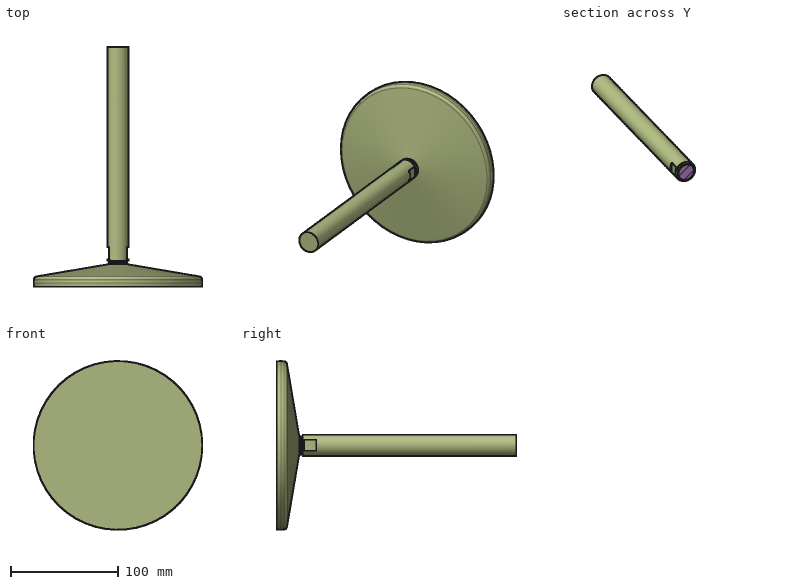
import cadquery as cq
import math

FOOT_RADIUS = 158.0 / 2
FACE_RADIUS = 78.6
WIDEST_Y = 4.0
RIM_Y = 6.7
RIM_RADIUS = 78.6
SHOULDER_RADIUS = 3.0
CONE_EDGE_Y = 9.5
CONE_TOP_Y = 21.0
CONE_TOP_RADIUS = 9.9
COLLAR_RADIUS = 8.0
COLLAR_LIP_Y = 22.2
COLLAR_TOP_Y = 22.8

STEM_RADIUS = 20.0 / 2
STEM_START_Y = 24.5
STEM_END_Y = 224.0
NECK_TIP_RADIUS = 8.7
NECK_BASE_RADIUS = 7.0
FLAT_SPACING = 17.0
FLAT_START_Y = STEM_START_Y + 1.3
FLAT_LENGTH = 11.5


def revolve_about_y(outline):
    return outline.close().revolve(360, (0, 0, 0), (0, 1, 0))


def make_foot():
    """Disc with a conical top, rounded shoulder and central collar."""
    slope = math.atan2(CONE_TOP_Y - CONE_EDGE_Y, RIM_RADIUS - CONE_TOP_RADIUS)
    turn = math.pi / 2 - slope
    tangent = SHOULDER_RADIUS * math.tan(turn / 2)
    arc_start = (RIM_RADIUS, CONE_EDGE_Y - tangent)
    arc_end = (RIM_RADIUS - tangent * math.cos(slope), CONE_EDGE_Y + tangent * math.sin(slope))
    outline = (
        cq.Workplane("XY")
        .lineTo(FACE_RADIUS, 0)
        .lineTo(FOOT_RADIUS, WIDEST_Y)
        .lineTo(RIM_RADIUS, RIM_Y)
        .lineTo(*arc_start)
        .tangentArcPoint(arc_end, relative=False)
        .lineTo(CONE_TOP_RADIUS, CONE_TOP_Y)
        .lineTo(COLLAR_RADIUS, COLLAR_LIP_Y)
        .lineTo(COLLAR_RADIUS, COLLAR_TOP_Y)
        .lineTo(0, COLLAR_TOP_Y)
    )
    return revolve_about_y(outline)


def make_stem():
    """Round rod with a neck that flares toward the foot and two opposite wrench flats."""
    outline = (
        cq.Workplane("XY")
        .moveTo(0, COLLAR_TOP_Y)
        .lineTo(NECK_TIP_RADIUS, COLLAR_TOP_Y)
        .lineTo(NECK_BASE_RADIUS, STEM_START_Y)
        .lineTo(STEM_RADIUS, STEM_START_Y)
        .lineTo(STEM_RADIUS, STEM_END_Y)
        .lineTo(0, STEM_END_Y)
    )
    stem = revolve_about_y(outline)
    for side in (-1, 1):
        flat_cutter = cq.Workplane("XY").box(STEM_RADIUS, FLAT_LENGTH, 2 * STEM_RADIUS)
        flat_center_x = side * (FLAT_SPACING + STEM_RADIUS) / 2
        stem = stem.cut(flat_cutter.translate((flat_center_x, FLAT_START_Y + FLAT_LENGTH / 2, 0)))
    return stem


foot = make_foot()
stem = make_stem()
result = cq.Compound.makeCompound([foot.val(), stem.val()])